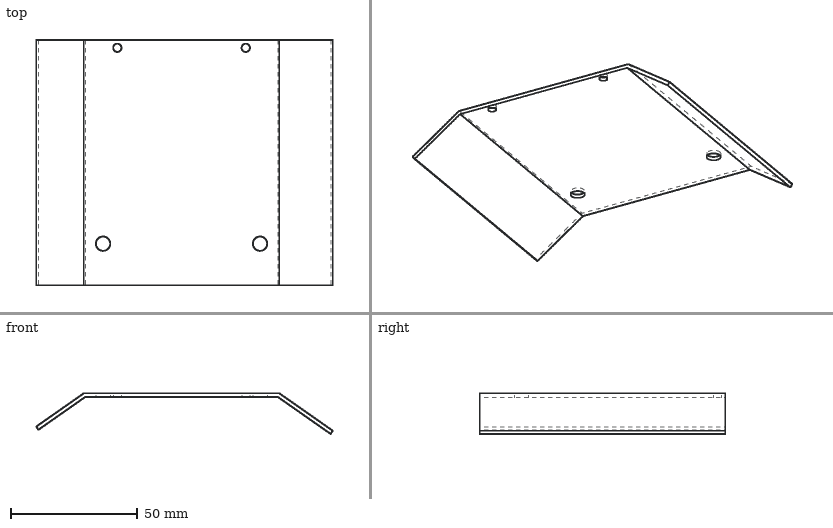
import cadquery as cq
import math

total_width = 117.4
total_height = 16.16
plate_depth = 97.16
thickness = 1.5875
flat_width = 77.3
bend_angle = math.radians(35)

small_hole_diameter = 3.2
small_hole_spacing = 50.8
small_hole_edge_distance = 3.175
large_hole_diameter = 5.59
large_hole_spacing = 62.1
large_hole_edge_distance = 16.5

half_flat = flat_width / 2
half_depth = plate_depth / 2
right_run = (total_height - thickness * math.cos(bend_angle)) / math.tan(bend_angle)
left_run = total_width - flat_width - right_run
tip_inset = thickness * math.sin(bend_angle)
tip_drop = thickness * math.cos(bend_angle)
inner_half_flat = half_flat - thickness * math.tan(bend_angle / 2)


def wing_corners(run, side):
    """Outer bend, outer tip, inner tip and inner bend of a wing (side is -1 or +1)."""
    tip_x = half_flat + run
    tip_z = -run * math.tan(bend_angle)
    return [
        (side * half_flat, 0),
        (side * tip_x, tip_z),
        (side * (tip_x - tip_inset), tip_z - tip_drop),
        (side * inner_half_flat, -thickness),
    ]


def bent_plate():
    """Constant-thickness sheet with a wing bent down on each side."""
    outline = wing_corners(right_run, 1) + wing_corners(left_run, -1)[::-1]
    return cq.Workplane("XZ").polyline(outline).close().extrude(half_depth, both=True)


def drill_pair(plate, diameter, spacing, y):
    """Drill two through holes, mirrored about the centre of the flat."""
    points = [(-spacing / 2, y), (spacing / 2, y)]
    drills = cq.Workplane("XY").pushPoints(points).circle(diameter / 2).extrude(-thickness)
    return plate.cut(drills)


result = bent_plate()
result = drill_pair(
    result, small_hole_diameter, small_hole_spacing, half_depth - small_hole_edge_distance
)
result = drill_pair(
    result, large_hole_diameter, large_hole_spacing, large_hole_edge_distance - half_depth
)